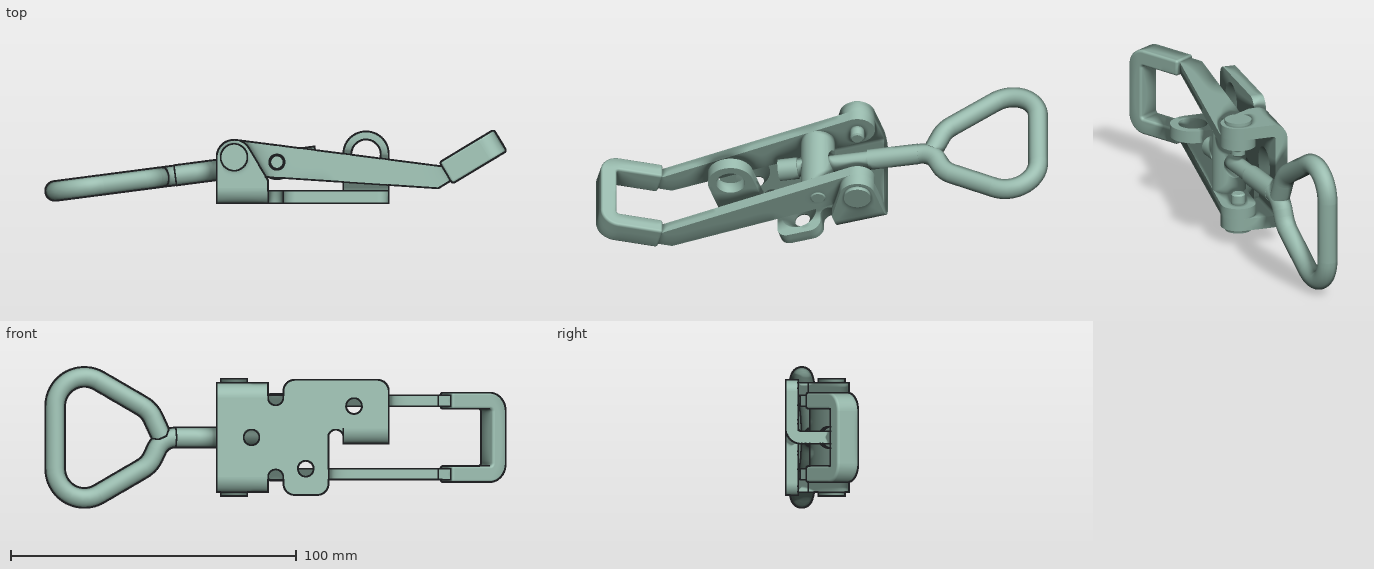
import cadquery as cq
import math


SHEET = 4.4
BEND_OUTER = 5.3
FLANGE_OUTER = 19.2
HINGE_HEIGHT = 16.1
HINGE_ROUND = 6.15
FLANGE_END = 11.9
FLANGE_SHOULDER = 8.0
NOTCH_RADIUS = 2.67
PLATE_HALF_WIDTH = 20.2
PLATE_CORNER = 4.0
SHORT_SIDE_END = 33.1
PLATE_END = 54.2
SCREW_HOLE = 5.5
SCREW_SINK_RADIUS = 6.3
SCREW_HOLE_LAND = 0.5
SCREW_HOLE_PLACES = [(6.1, 0), (25.1, -11.0), (42.0, 11.0)]
EYE_RADIUS = 8.0
EYE_HOLE_RADIUS = 5.1
EYE_HEIGHT = 17.2
EYE_BEND_LINE = 3.1

LEG_THICKNESS = 3.9
LEG_BOTTOM_CORNER = (71.5, 5.2)
LEG_TOP_CORNER = (72.5, 13.0)
GRIP_ANGLE = 31.0
GRIP_START = (74.2, 10.6)
GRIP_LENGTH = 22.2
GRIP_DEPTH = 8.8
LEG_EMBEDDED = 2.0
GRIP_WALL = 1.2
GRIP_SIDE_WALL = 0.9
GRIP_OUTER_ROUND = 6.5
GRIP_INNER_ROUND = 1.0
GRIP_EDGE_ROUND = 0.9

RIVET_HEAD = 9.4
RIVET_HEAD_THICKNESS = 1.4
RIVET_SHANK = 4.9
RIVET_TIP = 7.1
RIVET_CHAMFER = 0.5

TRUNNION_X = 15.0
TRUNNION_Y = 14.4
TRUNNION_RADIUS = 6.0
BORE_MOUTH_RADIUS = 5.1
BORE_MOUTH_HALF_ANGLE = 30.0
JOURNAL_RADIUS = 2.7
JOURNAL_PROTRUSION = 0.4
JOURNAL_CHAMFER = 0.4

HOOK_TILT = 7.4
WIRE_RADIUS = 3.5
SHANK_RADIUS = 3.6
THREAD_RADIUS = 3.0
THREAD_START = -18.0
THREAD_END = 13.8
TIP_RADIUS = 3.8
TIP_START = 7.0
NECK_START = -35.9
NECK_RADIUS = 7.3
NECK_ANGLE = 65.0
SIDE_ANGLE = 30.0
SHOULDER_RADIUS = 9.5
RING_CORNER_RADIUS = 10.3
RING_CORNER_HEIGHT = 10.9
RING_END = -78.3

BEND_INNER = BEND_OUTER - SHEET
LEG_OUTER = FLANGE_OUTER - SHEET
LEG_INNER = LEG_OUTER - LEG_THICKNESS
BEND_LINE = FLANGE_OUTER - BEND_OUTER


def tangent_point(outside, center, radius, side):
    """Point where a line from `outside` touches a circle; side is +1 or -1."""
    dx = outside[0] - center[0]
    dy = outside[1] - center[1]
    angle = math.atan2(dy, dx) + side * math.acos(radius / math.hypot(dx, dy))
    return (center[0] + radius * math.cos(angle), center[1] + radius * math.sin(angle))


def z_cylinder(x, y, radius, z_start, z_end):
    return cq.Workplane("XY", origin=(x, y, z_start)).circle(radius).extrude(z_end - z_start)


def bent_strip(x_start, x_end, height, bend_line, direction):
    """Sheet bent up from the plate at `bend_line`, towards +Z or -Z (direction +1 or -1)."""
    outer = bend_line + direction * BEND_OUTER
    inner = outer - direction * SHEET
    diagonal = math.sqrt(0.5)
    outer_mid = (BEND_OUTER * (1 - diagonal), bend_line + direction * BEND_OUTER * diagonal)
    inner_mid = (BEND_OUTER - BEND_INNER * diagonal, bend_line + direction * BEND_INNER * diagonal)
    return (
        cq.Workplane("YZ", origin=(x_start, 0, 0))
        .moveTo(0, bend_line)
        .threePointArc(outer_mid, (BEND_OUTER, outer))
        .lineTo(height, outer)
        .lineTo(height, inner)
        .lineTo(BEND_OUTER, inner)
        .threePointArc(inner_mid, (SHEET, bend_line))
        .close()
        .extrude(x_end - x_start)
    )


def hinge_flange(direction):
    hinge = (0, HINGE_HEIGHT)
    shoulder = (FLANGE_END, FLANGE_SHOULDER)
    touch = tangent_point(shoulder, hinge, HINGE_ROUND, 1)
    outline = (
        cq.Workplane("XY", origin=(0, 0, -FLANGE_OUTER))
        .moveTo(-HINGE_ROUND, 0)
        .lineTo(FLANGE_END, 0)
        .lineTo(*shoulder)
        .lineTo(*touch)
        .threePointArc((0, HINGE_HEIGHT + HINGE_ROUND), (-HINGE_ROUND, HINGE_HEIGHT))
        .close()
        .extrude(2 * FLANGE_OUTER)
    )
    top = HINGE_HEIGHT + HINGE_ROUND
    strip = bent_strip(-HINGE_ROUND, FLANGE_END, top, direction * BEND_LINE, direction)
    rivet_hole = z_cylinder(0, HINGE_HEIGHT, RIVET_SHANK / 2, -FLANGE_OUTER, FLANGE_OUTER)
    return strip.intersect(outline).cut(rivet_hole)


def padlock_eye():
    start = PLATE_END - 2 * EYE_RADIUS
    middle = PLATE_END - EYE_RADIUS
    top = EYE_HEIGHT + EYE_RADIUS
    outline = (
        cq.Workplane("XY", origin=(0, 0, -PLATE_HALF_WIDTH))
        .moveTo(start, 0)
        .lineTo(PLATE_END, 0)
        .lineTo(PLATE_END, EYE_HEIGHT)
        .threePointArc((middle, top), (start, EYE_HEIGHT))
        .close()
        .extrude(2 * PLATE_HALF_WIDTH)
    )
    hole = z_cylinder(middle, EYE_HEIGHT, EYE_HOLE_RADIUS, -PLATE_HALF_WIDTH, PLATE_HALF_WIDTH)
    return bent_strip(start, PLATE_END, top, EYE_BEND_LINE, -1).intersect(outline).cut(hole)


def screw_hole(x, z):
    """Hole through the plate with a countersink on the inner face."""
    radius = SCREW_HOLE / 2
    return (
        cq.Workplane("XY")
        .polyline([(0, 0), (radius, 0), (radius, SCREW_HOLE_LAND), (SCREW_SINK_RADIUS, SHEET), (0, SHEET)])
        .close()
        .revolve(360, (0, 0, 0), (0, 1, 0))
        .translate((x, 0, z))
    )


def bracket_plate():
    notch_end = FLANGE_END + 2 * NOTCH_RADIUS
    notch_middle = FLANGE_END + NOTCH_RADIUS
    notch_depth = BEND_LINE - NOTCH_RADIUS
    eye_start = PLATE_END - 2 * EYE_RADIUS
    relief_half_width = (eye_start - SHORT_SIDE_END) / 2
    relief_edge = math.sqrt(NOTCH_RADIUS**2 - relief_half_width**2)
    plate = (
        cq.Workplane("XZ")
        .moveTo(-HINGE_ROUND, -BEND_LINE)
        .lineTo(FLANGE_END, -BEND_LINE)
        .threePointArc((notch_middle, -notch_depth), (notch_end, -BEND_LINE))
        .lineTo(notch_end, -PLATE_HALF_WIDTH)
        .lineTo(SHORT_SIDE_END, -PLATE_HALF_WIDTH)
        .lineTo(SHORT_SIDE_END, relief_edge)
        .threePointArc((SHORT_SIDE_END + relief_half_width, NOTCH_RADIUS), (eye_start, relief_edge))
        .lineTo(eye_start, EYE_BEND_LINE)
        .lineTo(PLATE_END, EYE_BEND_LINE)
        .lineTo(PLATE_END, PLATE_HALF_WIDTH)
        .lineTo(notch_end, PLATE_HALF_WIDTH)
        .lineTo(notch_end, BEND_LINE)
        .threePointArc((notch_middle, notch_depth), (FLANGE_END, BEND_LINE))
        .lineTo(-HINGE_ROUND, BEND_LINE)
        .close()
        .extrude(-SHEET)
    )
    plate = plate.edges("|Y and (>Z or <Z)").fillet(PLATE_CORNER)
    for x, z in SCREW_HOLE_PLACES:
        plate = plate.cut(screw_hole(x, z))
    return plate


bracket = bracket_plate().union(padlock_eye())
for direction in (1, -1):
    bracket = bracket.union(hinge_flange(direction))


def grip_point(along, across):
    """World (x, y) of a point given along the grip from its first face and across its depth."""
    tilt = math.radians(GRIP_ANGLE)
    return (
        GRIP_START[0] + along * math.cos(tilt) - across * math.sin(tilt),
        GRIP_START[1] + along * math.sin(tilt) + across * math.cos(tilt),
    )


def lever_leg(z_start):
    hinge = (0, HINGE_HEIGHT)
    top_touch = tangent_point(LEG_TOP_CORNER, hinge, HINGE_ROUND, 1)
    bottom_touch = tangent_point(LEG_BOTTOM_CORNER, hinge, HINGE_ROUND, -1)
    embedded_half_depth = GRIP_DEPTH / 2 - GRIP_WALL
    leg = (
        cq.Workplane("XY", origin=(0, 0, z_start))
        .moveTo(*top_touch)
        .threePointArc((-HINGE_ROUND, HINGE_HEIGHT), bottom_touch)
        .lineTo(*LEG_BOTTOM_CORNER)
        .lineTo(*grip_point(LEG_EMBEDDED, -embedded_half_depth))
        .lineTo(*grip_point(LEG_EMBEDDED, embedded_half_depth))
        .lineTo(*LEG_TOP_CORNER)
        .close()
        .extrude(LEG_THICKNESS)
    )
    z_end = z_start + LEG_THICKNESS
    rivet_hole = z_cylinder(0, HINGE_HEIGHT, RIVET_SHANK / 2, z_start, z_end)
    journal_hole = z_cylinder(TRUNNION_X, TRUNNION_Y, JOURNAL_RADIUS, z_start, z_end)
    return leg.cut(rivet_hole).cut(journal_hole)


def hand_grip():
    """U-shaped grip, built straight along X and then tilted into place."""
    outer = LEG_OUTER + GRIP_SIDE_WALL
    inner = LEG_INNER - GRIP_SIDE_WALL
    bar_start = GRIP_LENGTH - (outer - inner)
    outer_block = (
        cq.Workplane("XY")
        .box(GRIP_LENGTH, GRIP_DEPTH, 2 * outer, centered=(False, True, True))
        .edges("|Y and >X")
        .fillet(GRIP_OUTER_ROUND)
    )
    opening = (
        cq.Workplane("XY")
        .box(bar_start, GRIP_DEPTH, 2 * inner, centered=(False, True, True))
        .edges("|Y and >X")
        .fillet(GRIP_INNER_ROUND)
    )
    grip = outer_block.cut(opening).edges().fillet(GRIP_EDGE_ROUND)
    return grip.rotate((0, 0, 0), (0, 0, 1), GRIP_ANGLE).translate((*GRIP_START, 0))


lever = hand_grip()
for z_start in (LEG_INNER, -LEG_OUTER):
    lever = lever.union(lever_leg(z_start))


def hinge_rivet(direction):
    """Rivet through one flange and one lever leg, with its head outside (direction +1 or -1)."""
    head = z_cylinder(0, HINGE_HEIGHT, RIVET_HEAD / 2, FLANGE_OUTER, FLANGE_OUTER + RIVET_HEAD_THICKNESS)
    shank = z_cylinder(0, HINGE_HEIGHT, RIVET_SHANK / 2, RIVET_TIP, FLANGE_OUTER)
    rivet = head.union(shank.faces("<Z").chamfer(RIVET_CHAMFER))
    if direction < 0:
        rivet = rivet.mirror("XY")
    return rivet


rivets = [hinge_rivet(direction) for direction in (1, -1)]


def placed_on_screw_axis(body):
    return body.rotate((0, 0, 0), (0, 0, 1), HOOK_TILT).translate((TRUNNION_X, TRUNNION_Y, 0))


def screw_cylinder(radius, u_start, u_end):
    return cq.Workplane("YZ", origin=(u_start, 0, 0)).circle(radius).extrude(u_end - u_start)


def bend(path, corner, radius, heading_in, heading_out):
    """Line to a corner of the wire's centre line, rounded; headings in degrees from +u."""
    turn = math.radians(heading_out - heading_in)
    setback = radius * math.tan(abs(turn) / 2)
    sagitta_gap = radius / math.cos(turn / 2) - radius
    way_in = (math.cos(math.radians(heading_in)), math.sin(math.radians(heading_in)))
    way_out = (math.cos(math.radians(heading_out)), math.sin(math.radians(heading_out)))
    inward = (way_out[0] - way_in[0], way_out[1] - way_in[1])
    inward_length = math.hypot(*inward)
    start = (corner[0] - setback * way_in[0], corner[1] - setback * way_in[1])
    middle = (
        corner[0] + sagitta_gap * inward[0] / inward_length,
        corner[1] + sagitta_gap * inward[1] / inward_length,
    )
    end = (corner[0] + setback * way_out[0], corner[1] + setback * way_out[1])
    return path.lineTo(*start).threePointArc(middle, end)


def wire_hook():
    neck = math.radians(NECK_ANGLE)
    side = math.radians(SIDE_ANGLE)
    neck_corner_u = NECK_START - NECK_RADIUS * math.tan(neck / 2)
    side_height_at_end = (
        RING_CORNER_HEIGHT + RING_CORNER_RADIUS * (1 + math.sin(side)) / math.cos(side)
    )
    shoulder_u = (
        neck_corner_u * math.tan(neck) - side_height_at_end - RING_END * math.tan(side)
    ) / (math.tan(neck) - math.tan(side))
    shoulder_w = (neck_corner_u - shoulder_u) * math.tan(neck)

    path = cq.Workplane("XZ").moveTo(NECK_START, 0)
    neck_setback = NECK_RADIUS * math.tan(neck / 2)
    lower_neck_end = (
        neck_corner_u - neck_setback * math.cos(neck),
        -neck_setback * math.sin(neck),
    )
    neck_middle = (
        NECK_START - NECK_RADIUS * math.sin(neck / 2),
        -NECK_RADIUS * (1 - math.cos(neck / 2)),
    )
    path = path.threePointArc(neck_middle, lower_neck_end)
    down_neck = 180 + NECK_ANGLE
    down_side = 180 + SIDE_ANGLE
    path = bend(path, (shoulder_u, -shoulder_w), SHOULDER_RADIUS, down_neck, down_side)
    path = bend(path, (RING_END, -side_height_at_end), RING_CORNER_RADIUS, down_side, 90)
    path = bend(path, (RING_END, side_height_at_end), RING_CORNER_RADIUS, 90, -SIDE_ANGLE)
    path = bend(path, (shoulder_u, shoulder_w), SHOULDER_RADIUS, -SIDE_ANGLE, -NECK_ANGLE)
    path = path.lineTo(lower_neck_end[0], -lower_neck_end[1])
    ring = cq.Workplane("YZ", origin=(NECK_START, 0, 0)).circle(WIRE_RADIUS).sweep(path)

    butt_plane = cq.Plane(
        origin=(lower_neck_end[0], 0, -lower_neck_end[1]),
        xDir=(0, 1, 0),
        normal=(math.cos(neck), 0, -math.sin(neck)),
    )
    butt = cq.Workplane(butt_plane).circle(WIRE_RADIUS).extrude(neck_setback)

    shank = screw_cylinder(SHANK_RADIUS, NECK_START, THREAD_START)
    thread = screw_cylinder(THREAD_RADIUS, THREAD_START, THREAD_END)
    tip = screw_cylinder(TIP_RADIUS, TIP_START, THREAD_END)
    return placed_on_screw_axis(ring.union(butt).union(shank).union(thread).union(tip))


hook = wire_hook()


def swivel_trunnion():
    journal_end = LEG_OUTER + JOURNAL_PROTRUSION
    barrel = z_cylinder(TRUNNION_X, TRUNNION_Y, TRUNNION_RADIUS, -LEG_INNER, LEG_INNER)
    journals = (
        z_cylinder(TRUNNION_X, TRUNNION_Y, JOURNAL_RADIUS, -journal_end, journal_end)
        .faces("|Z")
        .chamfer(JOURNAL_CHAMFER)
    )
    bore = screw_cylinder(THREAD_RADIUS, -2 * TRUNNION_RADIUS, 2 * TRUNNION_RADIUS)
    mouth_apex = BORE_MOUTH_RADIUS / math.tan(math.radians(BORE_MOUTH_HALF_ANGLE)) - TRUNNION_RADIUS
    mouth = (
        cq.Workplane("XY")
        .polyline([(-TRUNNION_RADIUS, 0), (-TRUNNION_RADIUS, BORE_MOUTH_RADIUS), (mouth_apex, 0)])
        .close()
        .revolve(360, (0, 0, 0), (1, 0, 0))
    )
    body = barrel.union(journals)
    for opening in (bore, mouth):
        body = body.cut(placed_on_screw_axis(opening))
    return body


trunnion = swivel_trunnion()

bodies = [bracket, lever, *rivets, trunnion, hook]
result = cq.Compound.makeCompound([body.solids().val() for body in bodies])